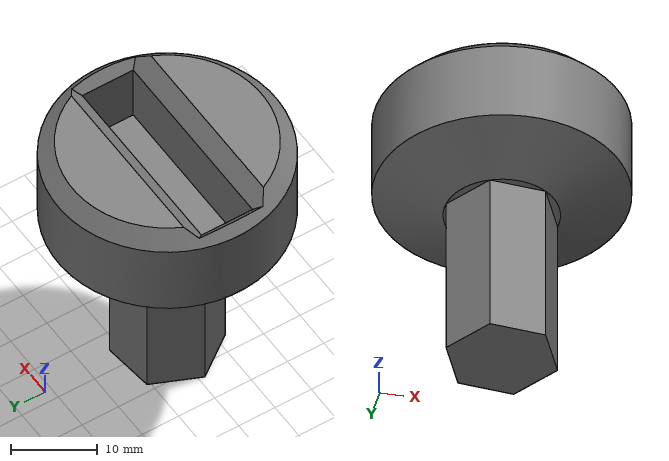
import cadquery as cq

total_height = 36.0
head_diameter = 30.0
head_height = 15.0
head_chamfer = 1.98
cone_height = 3.0

shank_corner_diameter = 13.55
shank_twist = 6.5

slot_length = 25.05
slot_width = 7.02
slot_depth = 10.0
slot_chamfer = 1.98

head_radius = head_diameter / 2
neck_radius = shank_corner_diameter / 2
shank_length = total_height - head_height


def make_head():
    """Round head: a cone at the base, a cylinder and a chamfered top rim."""
    profile = [
        (0, shank_length),
        (neck_radius, shank_length),
        (head_radius, shank_length + cone_height),
        (head_radius, total_height - head_chamfer),
        (head_radius - head_chamfer, total_height),
        (0, total_height),
    ]
    return cq.Workplane("XZ").polyline(profile).close().revolve(360, (0, 0, 0), (0, 1, 0))


def make_shank():
    """Hexagonal shank from the base up to the head."""
    shank = cq.Workplane("XY").polygon(6, shank_corner_diameter).extrude(shank_length)
    return shank.rotate((0, 0, 0), (0, 0, 1), shank_twist)


def make_slot():
    """Rectangular pocket whose mouth opens out at 45 degrees."""
    pocket = (
        cq.Workplane("XY", origin=(0, 0, total_height))
        .rect(slot_length, slot_width)
        .extrude(-slot_depth)
    )
    mouth = (
        cq.Workplane("XY", origin=(0, 0, total_height - slot_chamfer))
        .rect(slot_length, slot_width)
        .workplane(offset=slot_chamfer)
        .rect(slot_length + 2 * slot_chamfer, slot_width + 2 * slot_chamfer)
        .loft(ruled=True)
    )
    return pocket.union(mouth)


result = make_head().union(make_shank()).cut(make_slot())